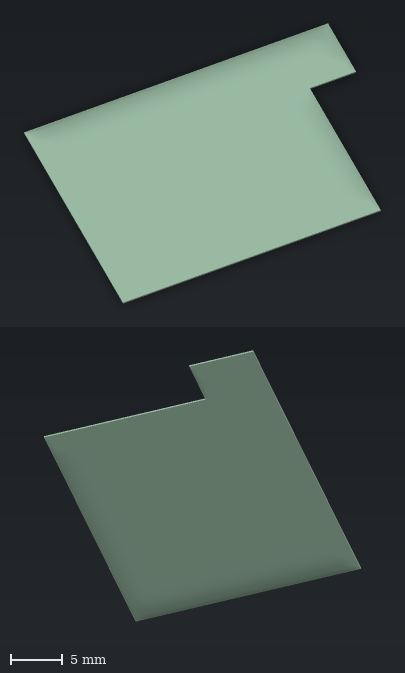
import cadquery as cq

width = 23.0
length = 32.25
thickness = 0.17

tab_width = 6.5
tab_length = 4.9

body_length = length - tab_length

outline = [
    (0, 0),
    (width, 0),
    (width, body_length),
    (tab_width, body_length),
    (tab_width, length),
    (0, length),
]

result = cq.Workplane("XY").polyline(outline).close().extrude(thickness)